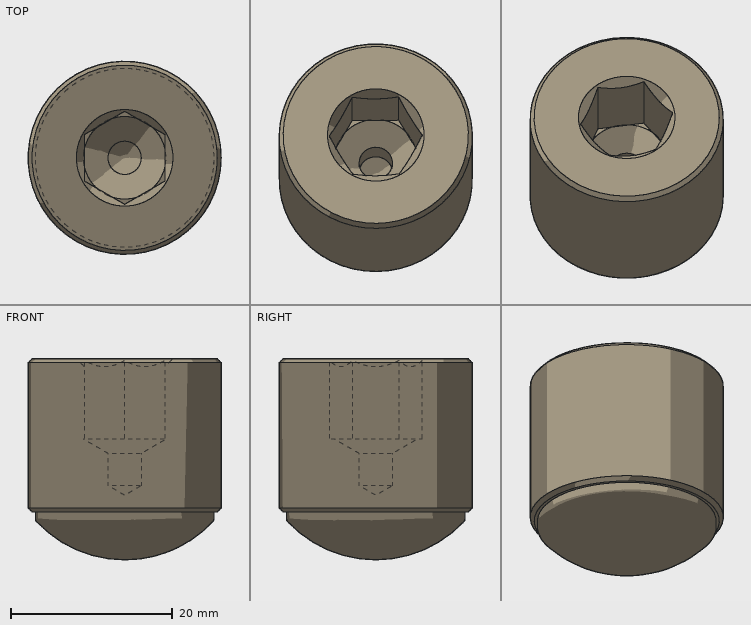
import cadquery as cq
import math

body_diameter = 24.0
overall_height = 25.0
body_bottom_z = 5.95
body_chamfer = 0.5

neck_diameter = 22.2
dome_radius = 15.0
dome_edge_fillet = 0.5

hex_across_flats = 10.0
hex_depth = 10.0
countersink_diameter = 12.0
countersink_angle = 90.0

recess_diameter = 10.25
recess_angle = 120.0
pilot_diameter = 4.13
pilot_depth = 4.0
pilot_tip_angle = 120.0

hex_half_corner_angle = 30.0
hex_floor_z = overall_height - hex_depth


def cone_height(large_diameter, small_diameter, included_angle):
    half_angle = math.radians(included_angle / 2)
    return (large_diameter - small_diameter) / 2 / math.tan(half_angle)


def make_body():
    height = overall_height - body_bottom_z
    body = cq.Workplane("XY", origin=(0, 0, body_bottom_z)).circle(body_diameter / 2).extrude(height)
    return body.faces("<Z or >Z").edges().chamfer(body_chamfer)


def dome_height(radius):
    return dome_radius - math.sqrt(dome_radius**2 - radius**2)


def make_domed_neck():
    neck_radius = neck_diameter / 2
    dome_edge_z = dome_height(neck_radius)
    arc_middle = (neck_radius / 2, dome_height(neck_radius / 2))
    profile = cq.Workplane("XZ").threePointArc(arc_middle, (neck_radius, dome_edge_z))
    profile = profile.lineTo(neck_radius, body_bottom_z).lineTo(0, body_bottom_z)
    neck = profile.close().revolve(360, (0, 0), (0, 1))
    return neck.edges("%CIRCLE").edges("not >Z").edges(">Z").fillet(dome_edge_fillet)


def make_countersink():
    depth = cone_height(countersink_diameter, 0, countersink_angle)
    profile = cq.Workplane("YZ").moveTo(0, overall_height - depth)
    profile = profile.lineTo(countersink_diameter / 2, overall_height).lineTo(0, overall_height)
    return profile.close().revolve(360, (0, 0), (0, 1))


def make_hex_socket():
    across_corners = hex_across_flats / math.cos(math.radians(hex_half_corner_angle))
    socket = cq.Workplane("XY").polygon(6, across_corners).extrude(hex_depth)
    return socket.rotate((0, 0, 0), (0, 0, 1), hex_half_corner_angle).translate((0, 0, hex_floor_z))


def make_pilot_recess():
    pilot_top_z = hex_floor_z - cone_height(recess_diameter, pilot_diameter, recess_angle)
    pilot_bottom_z = pilot_top_z - pilot_depth
    tip_z = pilot_bottom_z - cone_height(pilot_diameter, 0, pilot_tip_angle)
    profile = cq.Workplane("YZ").moveTo(0, tip_z)
    profile = profile.lineTo(pilot_diameter / 2, pilot_bottom_z)
    profile = profile.lineTo(pilot_diameter / 2, pilot_top_z)
    profile = profile.lineTo(recess_diameter / 2, hex_floor_z)
    profile = profile.lineTo(0, hex_floor_z)
    return profile.close().revolve(360, (0, 0), (0, 1))


result = make_body().union(make_domed_neck())
for recess in (make_countersink(), make_hex_socket(), make_pilot_recess()):
    result = result.cut(recess)